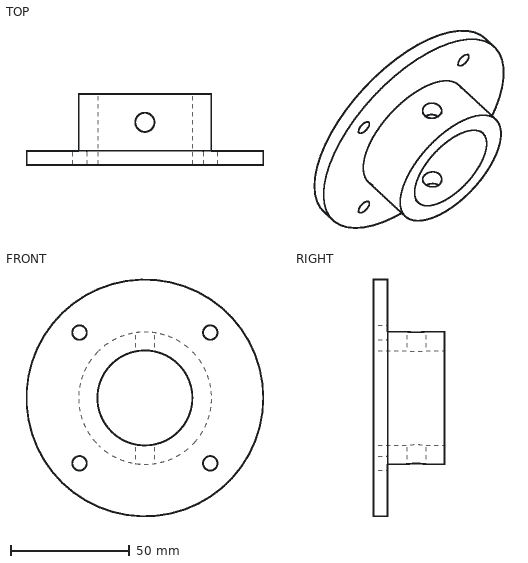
import cadquery as cq
import math

flange_diameter = 100
flange_thickness = 6

hub_diameter = 56
hub_length = 24
bore_diameter = 40
total_length = flange_thickness + hub_length

bolt_circle_diameter = 78
bolt_hole_diameter = 6
bolt_hole_count = 4
bolt_offset = bolt_circle_diameter / 2 * math.cos(math.pi / bolt_hole_count)

cross_hole_diameter = 8
cross_hole_y = flange_thickness + hub_length / 2


def cylinder_along_y(diameter, length):
    """Cylinder on the part axis, from the flange face at Y = 0 toward +Y."""
    return cq.Workplane("XZ").circle(diameter / 2).extrude(-length)


def bolt_holes():
    return (
        cq.Workplane("XZ")
        .rect(2 * bolt_offset, 2 * bolt_offset, forConstruction=True)
        .vertices()
        .circle(bolt_hole_diameter / 2)
        .extrude(-flange_thickness)
    )


def cross_hole():
    return (
        cq.Workplane("XY")
        .center(0, cross_hole_y)
        .circle(cross_hole_diameter / 2)
        .extrude(hub_diameter / 2, both=True)
    )


flange = cylinder_along_y(flange_diameter, flange_thickness)
hub = cylinder_along_y(hub_diameter, total_length)
bore = cylinder_along_y(bore_diameter, total_length)

result = flange.union(hub).cut(bore).cut(bolt_holes()).cut(cross_hole())